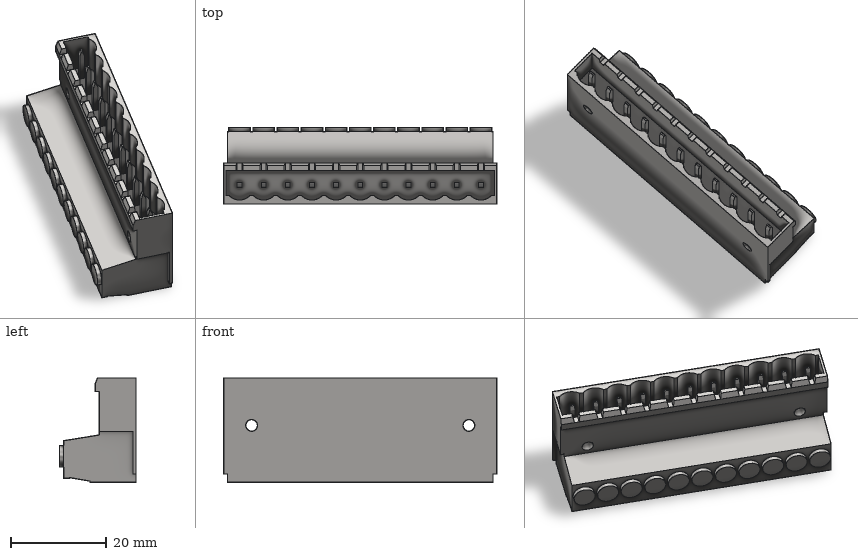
import cadquery as cq


POLES = 11
PITCH = 5.08
POLE_X = [(i - (POLES - 1) / 2) * PITCH for i in range(POLES)]

LENGTH = 57.49
HEIGHT = 22.0
SHROUD_DEPTH = 7.8
SHROUD_BOTTOM = 10.75

LIP_DEPTH = 8.65
LIP_BOTTOM = 19.1
LIP_BEVEL_DEPTH = 0.5
LIP_BEVEL_HEIGHT = 1.3

SKIRT_THICKNESS = 0.7
SKIRT_BOTTOM = 1.75

BLOCK_LENGTH = POLES * PITCH
BLOCK_DEPTH = 15.25
BLOCK_TOP_FRONT = 10.0
BLOCK_TOP_REAR = 8.8
BLOCK_BOTTOM_REAR = 0.85
REAR_LAND_DEPTH = 1.2
RAMP_TOP = 1.0
RAMP_BOTTOM = 0.25
RAMP_START_Y = 9.75

SCREW_DIAMETER = 4.55
SCREW_Z = 5.5
OVERALL_DEPTH = 16.15

CAVITY_FLOOR = 13.5
END_WALL = 0.55
REAR_WALL = 0.7
FRONT_WALL = 1.75
SCALLOP_DEPTH = 0.9
SCALLOP_HALF_WIDTH = 2.15

NOTCH_TOP_WIDTH = 1.55
NOTCH_BOTTOM_WIDTH = 1.0
NOTCH_DEPTH = 1.3

PIN_SIZE = 1.0
PIN_Y = 4.0
PIN_TOP = 21.15
PIN_BEVEL_DEPTH = 0.33
PIN_BEVEL_HEIGHT = 1.1

HOLE_DIAMETER = 2.4
HOLE_Z = 12.0
HOLE_X = (POLES / 2 - 1) * PITCH


def extrude_along_x(profile_yz, length):
    """Extrude a closed YZ outline symmetrically about X = 0."""
    return cq.Workplane("YZ").polyline(profile_yz).close().extrude(length / 2, both=True)


def make_shroud():
    bevel_y = LIP_DEPTH - LIP_BEVEL_DEPTH
    return extrude_along_x(
        [
            (0, SKIRT_BOTTOM),
            (SKIRT_THICKNESS, SKIRT_BOTTOM),
            (SKIRT_THICKNESS, SHROUD_BOTTOM),
            (SHROUD_DEPTH, SHROUD_BOTTOM),
            (SHROUD_DEPTH, LIP_BOTTOM),
            (LIP_DEPTH, LIP_BOTTOM),
            (LIP_DEPTH, HEIGHT - LIP_BEVEL_HEIGHT),
            (bevel_y, HEIGHT),
            (0, HEIGHT),
        ],
        LENGTH,
    )


def make_terminal_block():
    land_y = BLOCK_DEPTH - REAR_LAND_DEPTH
    return extrude_along_x(
        [
            (0, 0),
            (RAMP_START_Y, 0),
            (RAMP_START_Y, RAMP_BOTTOM),
            (land_y, RAMP_TOP),
            (land_y, BLOCK_BOTTOM_REAR),
            (BLOCK_DEPTH, BLOCK_BOTTOM_REAR),
            (BLOCK_DEPTH, BLOCK_TOP_REAR),
            (SHROUD_DEPTH, BLOCK_TOP_FRONT),
            (SHROUD_DEPTH, SHROUD_BOTTOM),
            (0, SHROUD_BOTTOM),
        ],
        BLOCK_LENGTH,
    )


def make_screw_heads():
    return (
        cq.Workplane("XZ", origin=(0, BLOCK_DEPTH, SCREW_Z))
        .pushPoints([(x, 0) for x in POLE_X])
        .circle(SCREW_DIAMETER / 2)
        .extrude(BLOCK_DEPTH - OVERALL_DEPTH)
    )


def make_cavity():
    """Pocket of the shroud; its front wall is hollowed by one shallow arc per pole."""
    end_x = LENGTH / 2 - END_WALL
    rear_y = SHROUD_DEPTH - REAR_WALL
    outline = cq.Workplane("XY", origin=(0, 0, CAVITY_FLOOR))
    outline = outline.moveTo(end_x, rear_y).lineTo(-end_x, rear_y).lineTo(-end_x, FRONT_WALL)
    for x in POLE_X:
        outline = outline.lineTo(x - SCALLOP_HALF_WIDTH, FRONT_WALL)
        outline = outline.threePointArc(
            (x, FRONT_WALL - SCALLOP_DEPTH),
            (x + SCALLOP_HALF_WIDTH, FRONT_WALL),
        )
    return outline.lineTo(end_x, FRONT_WALL).close().extrude(HEIGHT - CAVITY_FLOOR)


def make_notches():
    """Tapered cutters that open the top of the rear wall and the lip behind each pin."""
    inner_y = SHROUD_DEPTH - REAR_WALL
    notch_z = HEIGHT - NOTCH_DEPTH
    cutters = cq.Workplane("XZ", origin=(0, inner_y, 0))
    for x in POLE_X:
        cutters = cutters.polyline(
            [
                (x - NOTCH_TOP_WIDTH / 2, HEIGHT),
                (x - NOTCH_BOTTOM_WIDTH / 2, notch_z),
                (x + NOTCH_BOTTOM_WIDTH / 2, notch_z),
                (x + NOTCH_TOP_WIDTH / 2, HEIGHT),
            ]
        ).close()
    return cutters.extrude(inner_y - LIP_DEPTH)


def make_pins():
    """Square pins whose tips are bevelled on the front and rear faces only."""
    half_size = PIN_SIZE / 2
    half_tip = half_size - PIN_BEVEL_DEPTH
    shoulder_z = PIN_TOP - PIN_BEVEL_HEIGHT
    pin = extrude_along_x(
        [
            (PIN_Y - half_size, CAVITY_FLOOR),
            (PIN_Y + half_size, CAVITY_FLOOR),
            (PIN_Y + half_size, shoulder_z),
            (PIN_Y + half_tip, PIN_TOP),
            (PIN_Y - half_tip, PIN_TOP),
            (PIN_Y - half_size, shoulder_z),
        ],
        PIN_SIZE,
    ).val()
    return cq.Workplane("XY").pushPoints([(x, 0) for x in POLE_X]).eachpoint(pin)


def make_mounting_holes():
    return (
        cq.Workplane("XZ", origin=(0, 0, HOLE_Z))
        .pushPoints([(-HOLE_X, 0), (HOLE_X, 0)])
        .circle(HOLE_DIAMETER / 2)
        .extrude(-SHROUD_DEPTH)
    )


housing = make_shroud().union(make_terminal_block()).union(make_screw_heads())
housing = housing.cut(make_cavity()).cut(make_notches())
result = housing.union(make_pins()).cut(make_mounting_holes())